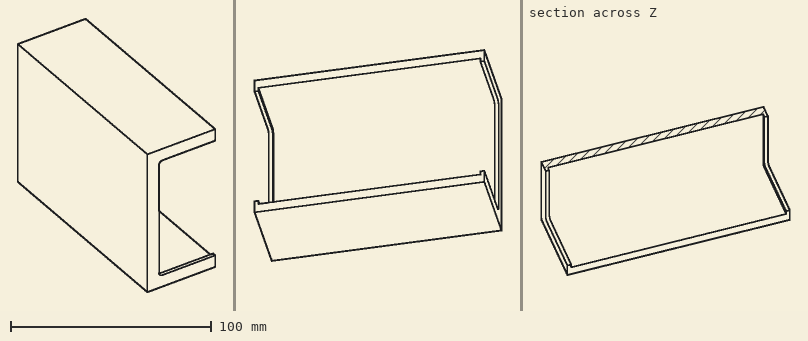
import cadquery as cq

length = 117.0
depth = 40.5
height = 83.0

rim_wall = 7.0
rim_length = 2.0

recess_depth = 2.0
middle_wall = rim_wall - recess_depth

inner_radius = 2.0


def cavity(cavity_length, wall):
    """Space inside the channel, open toward +Y and rounded where web meets flanges."""
    return (
        cq.Workplane("XY")
        .box(cavity_length, depth - wall, height - 2 * wall)
        .translate((0, wall / 2, 0))
        .edges("|X and <Y")
        .fillet(inner_radius)
    )


def channel():
    """U-shaped channel along X with its web on the -Y side and a rim at each end."""
    body = cq.Workplane("XY").box(length, depth, height)
    through_opening = cavity(length, rim_wall)
    middle_recess = cavity(length - 2 * rim_length, middle_wall)
    return body.cut(through_opening).cut(middle_recess)


result = channel()